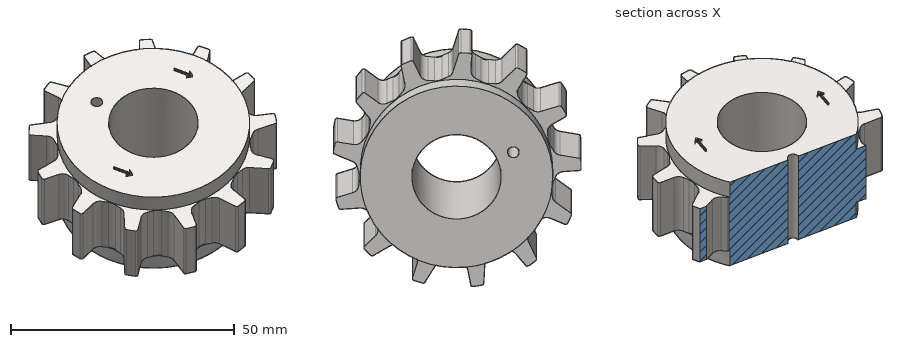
import cadquery as cq
import math

tooth_count = 13
hub_radius = 21.5
hub_height = 25.0
rim_height = 16.0
bore_radius = 10.0
pin_hole_radius = 1.3
pin_hole_distance = 14.0

tip_radius = 27.85
tooth_half_width = 2.0
flank_foot_height = 23.3
tip_rounding = 0.5
root_rounding = 2.0
valley_rounding = 3.55

arrow_relief = 0.5
arrow_line_width = 0.3
arrow_distance = 15.75
arrow_start = -2.35
arrow_tip = 2.3
arrow_notch = 1.6
arrow_head_length = 1.15
arrow_head_half_width = 0.9

fillet_margin = 0.55

pitch_angle = 2 * math.pi / tooth_count
half_pitch = pitch_angle / 2
rim_bottom = (hub_height - rim_height) / 2
valley_x = hub_radius * math.sin(half_pitch)
valley_y = hub_radius * math.cos(half_pitch)


def tooth_blade():
    """One tooth pointing along +Y: a straight flank on -X, a leaning flank on +X.

    Its foot spreads along two sloping floors to the middle of the neighbouring valleys,
    where each floor is square to the next tooth's centre line.
    """
    floor_slope = math.tan(pitch_angle)
    lean_slope = math.tan(half_pitch)

    straight_root_y = valley_y + (valley_x - tooth_half_width) * floor_slope
    drop = (flank_foot_height - straight_root_y) / (1 - lean_slope * floor_slope)
    lean_root = (tooth_half_width + lean_slope * drop, flank_foot_height - drop)
    beyond_tip = tip_radius + tip_rounding
    lean_top_x = tooth_half_width - lean_slope * (beyond_tip - flank_foot_height)

    blade = (
        cq.Workplane("XY")
        .workplane(offset=rim_bottom)
        .moveTo(0, 0)
        .lineTo(-valley_x, valley_y)
        .lineTo(-tooth_half_width, straight_root_y)
        .lineTo(-tooth_half_width, beyond_tip)
        .lineTo(lean_top_x, beyond_tip)
        .lineTo(*lean_root)
        .lineTo(valley_x, valley_y)
        .close()
        .extrude(rim_height)
    )
    tip_cylinder = cq.Workplane("XY").circle(tip_radius).extrude(hub_height)
    blade = blade.intersect(tip_cylinder)

    tip_corners = cq.selectors.BoxSelector(
        (-valley_x, tip_radius - fillet_margin, 0), (valley_x, tip_radius + fillet_margin, hub_height)
    )
    root_corners = cq.selectors.BoxSelector(
        (-valley_x + fillet_margin, valley_y + fillet_margin, 0),
        (valley_x - fillet_margin, flank_foot_height, hub_height),
    )
    blade = blade.edges("|Z").edges(root_corners).fillet(root_rounding)
    return blade.edges("|Z").edges(tip_corners).fillet(tip_rounding)


def toothed_rim():
    """All teeth joined, with the valley bottoms between them rounded."""
    blade = tooth_blade()
    rim = blade
    for index in range(1, tooth_count):
        turn = index * math.degrees(pitch_angle)
        rim = rim.union(blade.rotate((0, 0, 0), (0, 0, 1), turn))

    def is_valley(edge):
        center = edge.Center()
        return math.hypot(center.x, center.y) < hub_radius + fillet_margin

    return rim.edges("|Z").filter(is_valley).fillet(valley_rounding)


def arrow(shaft_y):
    """Raised arrow pointing along +X on the top face, with a swept-back head."""
    half_line = arrow_line_width / 2
    barb_x = arrow_tip - arrow_head_length
    return (
        cq.Workplane("XY")
        .workplane(offset=hub_height)
        .moveTo(arrow_start, shaft_y - half_line)
        .lineTo(arrow_notch, shaft_y - half_line)
        .lineTo(barb_x, shaft_y - arrow_head_half_width)
        .lineTo(arrow_tip, shaft_y)
        .lineTo(barb_x, shaft_y + arrow_head_half_width)
        .lineTo(arrow_notch, shaft_y + half_line)
        .lineTo(arrow_start, shaft_y + half_line)
        .close()
        .extrude(arrow_relief)
    )


def through_hole(x, radius):
    """Cutter along Z for a round hole through the whole hub."""
    return cq.Workplane("XY").center(x, 0).circle(radius).extrude(hub_height)


hub = cq.Workplane("XY").circle(hub_radius).extrude(hub_height)
result = (
    hub.union(toothed_rim())
    .union(arrow(arrow_distance))
    .union(arrow(-arrow_distance))
    .cut(through_hole(0, bore_radius))
    .cut(through_hole(-pin_hole_distance, pin_hole_radius))
)